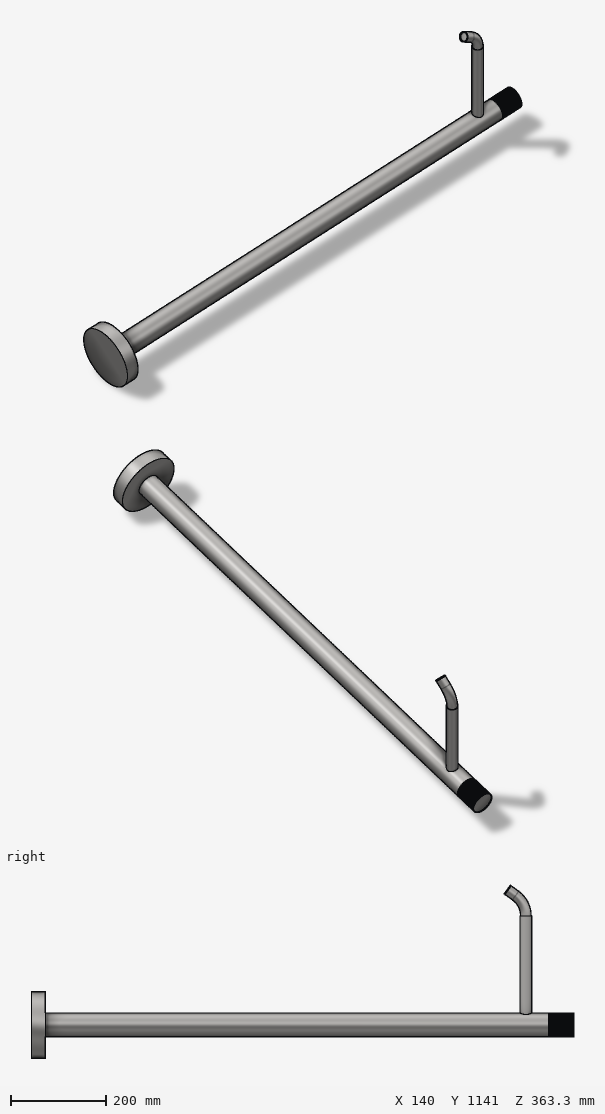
import cadquery as cq
import math

total_length = 1141.0
flange_diameter = 140.0
flange_thickness = 30.0

tube_diameter = 50.0
thread_length = 54.0
thread_pitch = 1.5
thread_depth = 0.9

stem_diameter = 25.0
stem_setback = 102.0
stem_top = 229.0
spout_diameter = 23.0
bend_radius = 52.0
bend_angle = 54.0
nozzle_length = 22.0
outlet_diameter = 18.0
outlet_depth = 2.0

tube_radius = tube_diameter / 2
stem_y = total_length - stem_setback


def make_flange():
    """Round wall plate whose outer face lies at Y = 0."""
    return cq.Workplane("XZ").circle(flange_diameter / 2).extrude(-flange_thickness)


def make_tube():
    """Tube with V-shaped thread rings on its free end, turned about the Y axis."""
    root_radius = tube_radius - thread_depth
    ring_count = round(thread_length / thread_pitch)
    ring_pitch = thread_length / ring_count
    thread_start = total_length - thread_length
    profile = cq.Workplane("XY").lineTo(tube_radius, 0).lineTo(tube_radius, thread_start)
    for ring in range(ring_count):
        ring_start = thread_start + ring * ring_pitch
        profile = profile.lineTo(root_radius, ring_start + ring_pitch / 2)
        profile = profile.lineTo(tube_radius, ring_start + ring_pitch)
    profile = profile.lineTo(0, total_length).close()
    return profile.revolve(360, (0, 0, 0), (0, 1, 0))


def make_stem():
    """Upright stem rising from the tube axis."""
    return cq.Workplane("XY").center(0, stem_y).circle(stem_diameter / 2).extrude(stem_top)


def make_spout():
    """Bend leaning towards the flange, then a straight nozzle with a shallow recess in its end."""
    angle = math.radians(bend_angle)

    def bend_point(turn):
        y = stem_y - bend_radius * (1 - math.cos(turn))
        return (y, stem_top + bend_radius * math.sin(turn))

    bend_end_y, bend_end_z = bend_point(angle)
    path = (
        cq.Workplane("YZ")
        .moveTo(stem_y, stem_top)
        .threePointArc(bend_point(angle / 2), (bend_end_y, bend_end_z))
    )
    bend = cq.Workplane("XY", origin=(0, stem_y, stem_top)).circle(spout_diameter / 2).sweep(path)

    bend_end = cq.Plane(
        origin=(0, bend_end_y, bend_end_z),
        xDir=(1, 0, 0),
        normal=(0, -math.sin(angle), math.cos(angle)),
    )
    nozzle = cq.Workplane(bend_end).circle(spout_diameter / 2).extrude(nozzle_length)
    outlet = (
        cq.Workplane(bend_end)
        .workplane(offset=nozzle_length - outlet_depth)
        .circle(outlet_diameter / 2)
        .extrude(outlet_depth)
    )
    return bend.union(nozzle).cut(outlet)


result = make_tube().union(make_flange()).union(make_stem()).union(make_spout())